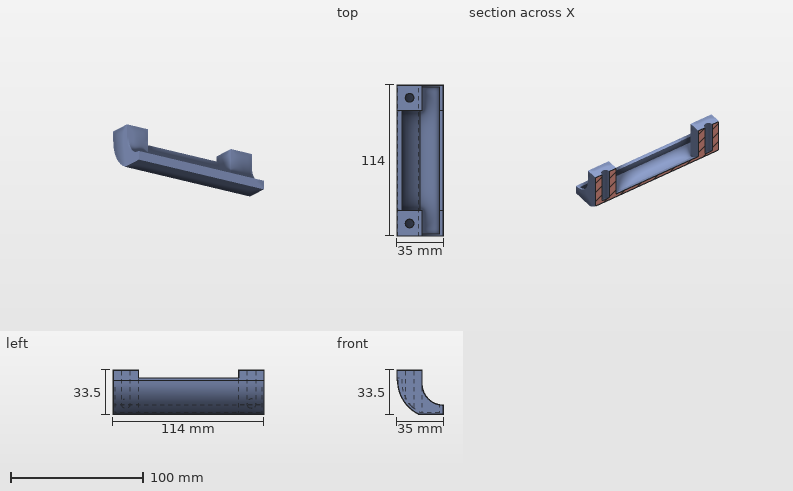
import cadquery as cq
import math

WIDTH = 35.0
LENGTH = 114.0
HEIGHT = 33.5

POST_WIDTH = 19.0
POST_LENGTH = 19.25
POST_GAP = LENGTH - 2 * POST_LENGTH

LIP_HEIGHT = 7.0
INNER_RADIUS = WIDTH - POST_WIDTH
OUTER_RADIUS = 28.5
OUTER_STEP = 0.4
OUTER_CENTRE_X = OUTER_STEP + OUTER_RADIUS
OUTER_CENTRE_Z = 25.6

LEDGE_Z = 27.5
FLOOR_Z = 1.5
LIP_THICKNESS = 3.0
END_WALL = 1.5
LEDGE_WIDTH = 3.9
TROUGH_RADIUS = OUTER_CENTRE_X - LEDGE_WIDTH
TROUGH_CENTRE_Z = 23.7

HOLE_DIAMETER = 6.5
HOLE_FLOOR = 2.0
HOLE_BOTTOM_RADIUS = OUTER_RADIUS - HOLE_FLOOR
HOLE_SPACING = 95.0


def arc_point(centre_x, centre_z, radius, angle):
    """Point on a circle in the XZ section, angle in radians from +X."""
    return (centre_x + radius * math.cos(angle), centre_z + radius * math.sin(angle))


def wall_arc(radius, centre_z, bottom_z):
    """Middle and lower end of a hull arc, from its leftmost point down to bottom_z."""
    end = math.pi + math.asin((centre_z - bottom_z) / radius)
    middle = (math.pi + end) / 2
    return [arc_point(OUTER_CENTRE_X, centre_z, radius, angle) for angle in (middle, end)]


def extrude_along_y(section, length):
    """Extrude an XZ section by length, centred on Y = 0."""
    return section.extrude(length / 2, both=True)


def make_body():
    """Full-length hook-shaped bar."""
    outer_middle, outer_end = wall_arc(OUTER_RADIUS, OUTER_CENTRE_Z, 0)
    inner_centre_z = LIP_HEIGHT + INNER_RADIUS
    inner_middle = arc_point(WIDTH, inner_centre_z, INNER_RADIUS, 1.25 * math.pi)
    section = (
        cq.Workplane("XZ")
        .moveTo(0, HEIGHT)
        .lineTo(0, OUTER_CENTRE_Z)
        .lineTo(OUTER_STEP, OUTER_CENTRE_Z)
        .threePointArc(outer_middle, outer_end)
        .lineTo(WIDTH, 0)
        .lineTo(WIDTH, LIP_HEIGHT)
        .threePointArc(inner_middle, (POST_WIDTH, inner_centre_z))
        .lineTo(POST_WIDTH, HEIGHT)
        .close()
    )
    return extrude_along_y(section, LENGTH)


def make_middle_trough():
    """Space between the posts, following the hull down to the floor."""
    wall_middle, wall_end = wall_arc(TROUGH_RADIUS, TROUGH_CENTRE_Z, FLOOR_Z)
    section = (
        cq.Workplane("XZ")
        .moveTo(LEDGE_WIDTH, HEIGHT)
        .lineTo(LEDGE_WIDTH, TROUGH_CENTRE_Z)
        .threePointArc(wall_middle, wall_end)
        .lineTo(WIDTH - LIP_THICKNESS, FLOOR_Z)
        .lineTo(WIDTH - LIP_THICKNESS, HEIGHT)
        .close()
    )
    return extrude_along_y(section, POST_GAP)


def make_box(x_min, x_max, length, z_min, z_max):
    """Box centred on Y = 0."""
    return (
        cq.Workplane("XY", origin=(0, 0, z_min))
        .center((x_min + x_max) / 2, 0)
        .rect(x_max - x_min, length)
        .extrude(z_max - z_min)
    )


def make_holes():
    """Blind holes, one in each post, whose bottoms follow the curve of the hull."""
    drills = (
        cq.Workplane("XY", origin=(POST_WIDTH / 2, 0, 0))
        .rarray(1, HOLE_SPACING, 1, 2)
        .circle(HOLE_DIAMETER / 2)
        .extrude(HEIGHT)
    )
    below_centre = extrude_along_y(
        cq.Workplane("XZ", origin=(OUTER_CENTRE_X, 0, OUTER_CENTRE_Z)).circle(HOLE_BOTTOM_RADIUS), LENGTH
    )
    above_centre = make_box(0, POST_WIDTH, LENGTH, OUTER_CENTRE_Z, HEIGHT)
    return drills.intersect(below_centre.union(above_centre))


lip_inner_x = WIDTH - LIP_THICKNESS
side_trough = make_box(POST_WIDTH, lip_inner_x, LENGTH - 2 * END_WALL, FLOOR_Z, HEIGHT)
ledge_cut = make_box(0, POST_WIDTH, POST_GAP, LEDGE_Z, HEIGHT)
lip_cut = make_box(lip_inner_x, WIDTH, POST_GAP, LIP_HEIGHT, HEIGHT)

result = make_body()
for cutter in (make_middle_trough(), side_trough, ledge_cut, lip_cut, make_holes()):
    result = result.cut(cutter)